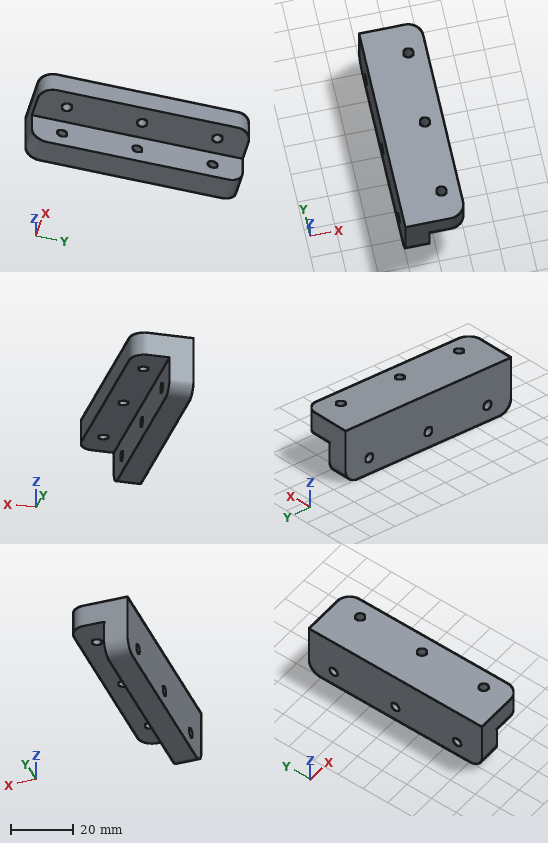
import cadquery as cq

length = 70.0
leg = 20.0
thickness = 8.0
corner_radius = 5.0
hole_diameter = 3.2
hole_offset = 14.0
hole_spacing = 25.0

hole_positions = [step * hole_spacing for step in (-1, 0, 1)]


def drilled_plate():
    """Horizontal leg: its outer corner edge is the Y axis, its top lies at Z = 0."""
    plate = (
        cq.Workplane("XY")
        .box(leg, length, thickness, centered=(False, True, False))
        .translate((0, 0, -thickness))
        .edges("|Z and >X")
        .fillet(corner_radius)
    )
    holes = (
        cq.Workplane("XY")
        .pushPoints([(hole_offset, y) for y in hole_positions])
        .circle(hole_diameter / 2)
        .extrude(-thickness)
    )
    return plate.cut(holes)


horizontal_leg = drilled_plate()

vertical_leg = drilled_plate().rotate((0, 0, 0), (0, 1, 0), 90).mirror("YZ")

result = horizontal_leg.union(vertical_leg)